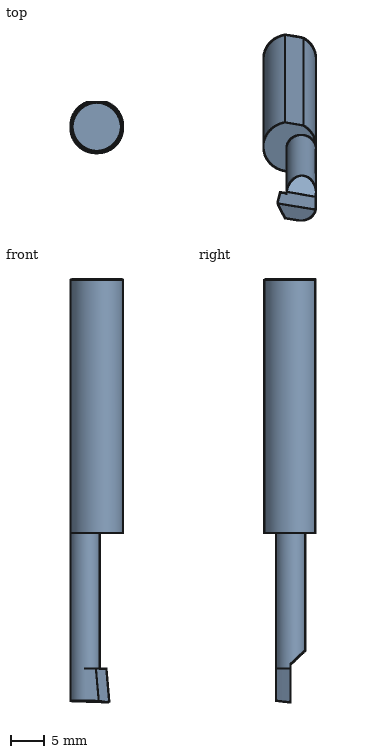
import cadquery as cq

total_length = 63.5
shank_diameter = 7.95
shank_depth_over_flat = 7.7
neck_length = 25.4
neck_diameter = 4.45

chamfer_radial = 0.35
chamfer_height = 0.2

relief_height = 5.7
relief_runout_height = 7.8

head_height = 5.1
head_reach = 1.45
heel_x = -0.1
relief_edge_x = 0.6
relief_edge_y = -1.3
head_lean = 0.45

tip_bevel_width = 0.25
tip_bevel_height = 0.2
end_rise_across = 0.2
end_rise_front = 0.2

shank_radius = shank_diameter / 2
neck_radius = neck_diameter / 2
neck_x = neck_radius - shank_radius
head_corner_x = head_reach + head_lean
tip_x = head_corner_x - tip_bevel_width


def make_shank():
    """Round shank with a chamfered top and a full-length flat on the back."""
    profile = [
        (0, neck_length),
        (shank_radius, neck_length),
        (shank_radius, total_length - chamfer_height),
        (shank_radius - chamfer_radial, total_length),
        (0, total_length),
    ]
    body = cq.Workplane("XZ").polyline(profile).close().revolve(360, (0, 0, 0), (0, 1, 0))
    flat_y = shank_depth_over_flat - shank_radius
    flat_cutter = (
        cq.Workplane("XY")
        .box(shank_diameter, shank_radius, total_length, centered=(True, False, False))
        .translate((0, flat_y, 0))
    )
    return body.cut(flat_cutter)


def make_neck():
    """Offset round neck, cut to a half round below a sloping run-out."""
    body = cq.Workplane("XY").center(neck_x, 0).circle(neck_radius).extrude(neck_length)
    relief_profile = [
        (0, 0),
        (neck_radius, 0),
        (neck_radius, relief_runout_height),
        (0, relief_height),
    ]
    relief = (
        cq.Workplane("YZ").polyline(relief_profile).close().extrude(shank_diameter, both=True)
    )
    return body.cut(relief)


def head_outline(shift):
    """Faceted head section with its cutting side moved along X by shift."""
    return [
        (neck_x, 0),
        (neck_x, -neck_radius),
        (heel_x + shift, -neck_radius),
        (relief_edge_x + shift, relief_edge_y),
        (head_reach + shift, 0),
    ]


def make_head():
    """Cutting head that leans outward towards the tip."""
    return (
        cq.Workplane("XY")
        .polyline(head_outline(head_lean))
        .close()
        .workplane(offset=head_height)
        .polyline(head_outline(0))
        .close()
        .loft(ruled=True)
    )


def end_cutter():
    """Waste below the bevelled cutting edge, swept along the end clearance slope."""
    below = -head_height
    edge = [
        (-shank_radius, below),
        (-shank_radius, end_rise_across),
        (tip_x, 0),
        (head_corner_x, tip_bevel_height),
        (head_corner_x, below),
    ]
    front_edge = [(x, z + end_rise_front) for x, z in edge]
    return (
        cq.Workplane("XZ")
        .polyline(edge)
        .close()
        .workplane(offset=neck_radius)
        .polyline(front_edge)
        .close()
        .loft(ruled=True)
    )


result = make_shank().union(make_neck()).union(make_head()).cut(end_cutter())